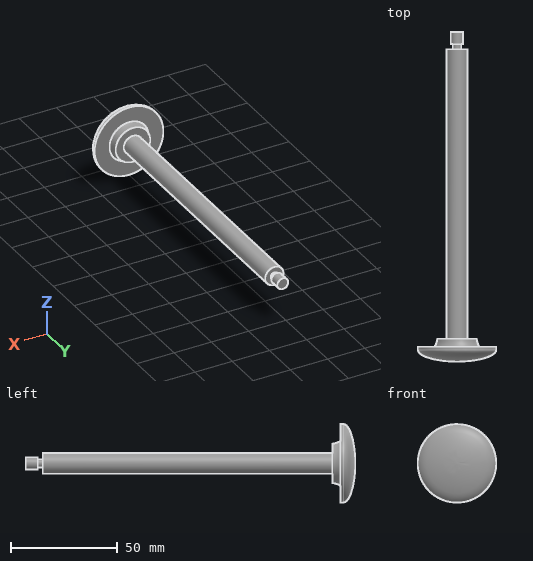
import cadquery as cq

total_length = 154.5
head_diameter = 37.0

dome_height = 5.7
rim_thickness = 1.4
hub_height = 3.7
hub_top_radius = 9.3
hub_base_radius = 10.5
hub_flare_sag = 0.23

shaft_radius = 5.0
neck_radius = 2.0
neck_length = 2.3
pin_radius = 3.0
pin_length = 5.7

head_radius = head_diameter / 2
apex_y = -total_length / 2
rim_front_y = apex_y + dome_height
rim_back_y = rim_front_y + rim_thickness
hub_top_y = rim_back_y + hub_height
pin_tip_y = total_length / 2
pin_base_y = pin_tip_y - pin_length
shaft_end_y = pin_base_y - neck_length


def make_profile():
    """Half section of the whole part, from the axis outwards."""
    flare_middle = (
        (hub_base_radius + hub_top_radius) / 2 - hub_flare_sag,
        (rim_back_y + hub_top_y) / 2,
    )
    return (
        cq.Workplane("XY")
        .moveTo(head_radius, rim_front_y)
        .lineTo(head_radius, rim_back_y)
        .lineTo(hub_base_radius, rim_back_y)
        .threePointArc(flare_middle, (hub_top_radius, hub_top_y))
        .lineTo(shaft_radius, hub_top_y)
        .lineTo(shaft_radius, shaft_end_y)
        .lineTo(neck_radius, shaft_end_y)
        .lineTo(neck_radius, pin_base_y)
        .lineTo(pin_radius, pin_base_y)
        .lineTo(pin_radius, pin_tip_y)
        .lineTo(0, pin_tip_y)
        .lineTo(0, apex_y)
        .ellipseArc(head_radius, dome_height, angle1=270, angle2=360, startAtCurrent=True)
        .close()
    )


result = make_profile().revolve(360, (0, 0, 0), (0, 1, 0))